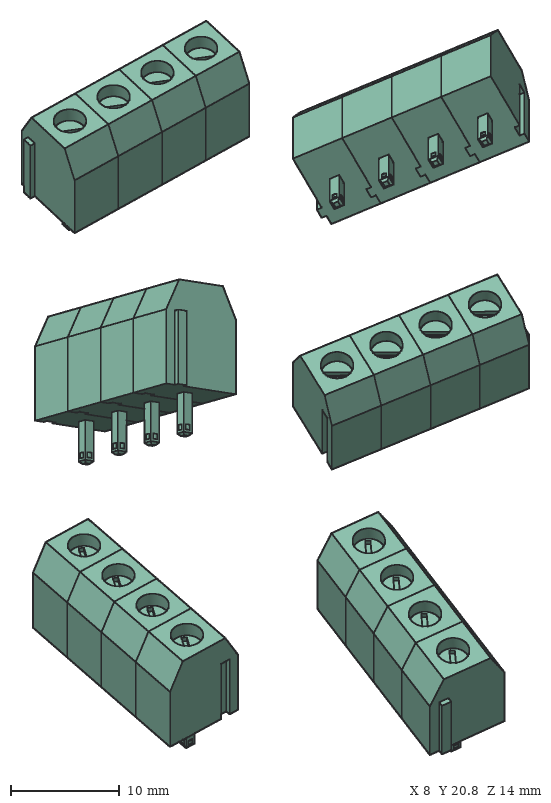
import cadquery as cq

MODULE_COUNT = 4
TOTAL_LENGTH = 20.82
BODY_WIDTH = 8.0
BODY_HEIGHT = 10.0
SHOULDER_WIDTH = 1.5
SHOULDER_HEIGHT = 3.0

RIB_WIDTH = 1.0
RIB_DEPTH = 0.5
RIB_INSET = 1.0

SCREW_DIAMETER = 3.0
SCREW_RECESS = 1.5
DRIVE_LENGTH = 2.5
DRIVE_WIDTH = 0.5
DRIVE_DEPTH = 0.5
DRIVE_ANGLE = 63.5

PIN_WIDTH = 1.0
PIN_LENGTH = 4.0
PIN_TIP_CHAMFER = 0.25
COLLAR_DIAMETER = 1.1
COLLAR_HEIGHT = 0.5
COLLAR_TIP_GAP = 0.5

PITCH = (TOTAL_LENGTH - RIB_DEPTH) / MODULE_COUNT
SIDE_HEIGHT = BODY_HEIGHT - SHOULDER_HEIGHT
RIB_HEIGHT = SIDE_HEIGHT
RIB_X = -BODY_WIDTH / 2 + RIB_INSET + RIB_WIDTH / 2
SCREW_Z = BODY_HEIGHT - SCREW_RECESS


def make_block():
    """Prism with two sloped shoulders, centred on X = 0 and Y = 0."""
    half_width = BODY_WIDTH / 2
    half_top = half_width - SHOULDER_WIDTH
    outline = [
        (-half_width, 0),
        (half_width, 0),
        (half_width, SIDE_HEIGHT),
        (half_top, BODY_HEIGHT),
        (-half_top, BODY_HEIGHT),
        (-half_width, SIDE_HEIGHT),
    ]
    return cq.Workplane("XZ").polyline(outline).close().extrude(PITCH / 2, both=True)


def make_rib(face_y):
    """Vertical interlocking rib that stands out toward -Y from the plane Y = face_y."""
    return (
        cq.Workplane("XY")
        .center(RIB_X, face_y - RIB_DEPTH / 2)
        .rect(RIB_WIDTH, RIB_DEPTH)
        .extrude(RIB_HEIGHT)
    )


def make_screw_cut():
    """Round well down to the screw head, with the driver slot below it."""
    well = cq.Workplane("XY", origin=(0, 0, SCREW_Z)).circle(SCREW_DIAMETER / 2).extrude(SCREW_RECESS)
    slot = (
        cq.Workplane("XY", origin=(0, 0, SCREW_Z))
        .transformed(rotate=(0, 0, DRIVE_ANGLE))
        .rect(DRIVE_LENGTH, DRIVE_WIDTH)
        .extrude(-DRIVE_DEPTH)
    )
    return well.union(slot)


def make_pin():
    """Square solder pin with a chamfered tip and a low round collar."""
    shank = (
        cq.Workplane("XY")
        .rect(PIN_WIDTH, PIN_WIDTH)
        .extrude(-PIN_LENGTH)
        .faces("<Z")
        .chamfer(PIN_TIP_CHAMFER)
    )
    collar_z = -PIN_LENGTH + COLLAR_TIP_GAP
    collar = cq.Workplane("XY", origin=(0, 0, collar_z)).circle(COLLAR_DIAMETER / 2).extrude(COLLAR_HEIGHT)
    return shank.union(collar)


def make_terminal_module():
    """One terminal module: rib on its -Y face, matching groove in its +Y face."""
    return (
        make_block()
        .cut(make_rib(PITCH / 2))
        .cut(make_screw_cut())
        .union(make_rib(-PITCH / 2))
        .union(make_pin())
    )


terminal_module = make_terminal_module()
first_y = -PITCH * (MODULE_COUNT - 1) / 2
terminal_modules = [
    terminal_module.translate((0, first_y + index * PITCH, 0)).val()
    for index in range(MODULE_COUNT)
]

result = cq.Compound.makeCompound(terminal_modules)